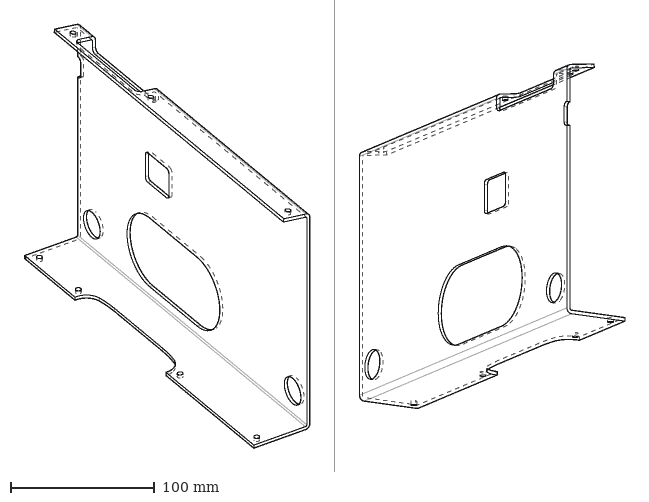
import cadquery as cq
import math

length = 290.0
height = 181.3
thickness = 2.5
bottom_depth = 46.7
top_depth = 22.0
top_slope = math.radians(8.0)
inner_bend_radius = 1.2
outer_bend_radius = inner_bend_radius + thickness

screw_diameter = 4.0
top_hole_y = -12.2
top_hole_xs = (9.0, 107.3, 280.8)
bottom_hole_y = -39.2
bottom_hole_xs = (7.3, 56.5, 185.5, 282.3)

round_diameter = 21.0
round_inset = 18.0
round_z = 22.0
opening_x = 121.3
opening_z = 39.0
opening_length = 117.2
opening_height = 57.0
window_x = 100.7
window_z = 108.0
window_width = 29.5
window_height = 24.5
window_radius = 3.0
notch_z = 143.3
notch_height = 16.8
notch_depth = 3.8
notch_radius = 3.0

slot_left = 19.0
slot_right = 98.3
slot_bottom_z = 165.6
slot_front_y = -17.5
slot_radius = 3.5

recess_x = opening_x
recess_depth = 15.0
recess_half_width = 57.5
recess_flat_half = 30.2
recess_shoulder_half = 47.0
recess_shoulder_drop = 1.5


def bent_sheet():
    """Extrude the sharp-cornered section along X, then round both bends."""
    rise = math.tan(top_slope)
    tip_upper = (-top_depth + thickness * math.sin(top_slope), height)
    tip_lower = (-top_depth, height - thickness * math.cos(top_slope))
    corner_z = tip_upper[1] + tip_upper[0] * rise
    inner_corner_z = tip_lower[1] - (top_depth - thickness) * rise
    section = [
        (0, 0),
        (-bottom_depth, 0),
        (-bottom_depth, thickness),
        (-thickness, thickness),
        (-thickness, inner_corner_z),
        tip_lower,
        tip_upper,
        (0, corner_z),
    ]
    sheet = cq.Workplane("YZ").polyline(section).close().extrude(length)

    def bend_edge(y, z):
        return cq.selectors.NearestToPointSelector((length / 2, y, z))

    for z in (0, corner_z):
        sheet = sheet.edges(bend_edge(0, z)).fillet(outer_bend_radius)
    for z in (thickness, inner_corner_z):
        sheet = sheet.edges(bend_edge(-thickness, z)).fillet(inner_bend_radius)
    return sheet


def plate_plane(x, z):
    """Plane on the back face, with its normal toward -Y."""
    return cq.Workplane("XZ", origin=(x, 0, z))


def rounded_cutter(x, z, width, tall, radius):
    """Block through the plate with rounded corners, centred at (x, z)."""
    return plate_plane(x, z).rect(width, tall).extrude(thickness).edges("|Y").fillet(radius)


def flange_holes(xs, y, bottom_z, top_z):
    points = [(x, y) for x in xs]
    plane = cq.Workplane("XY", origin=(0, 0, bottom_z))
    return plane.pushPoints(points).circle(screw_diameter / 2).extrude(top_z - bottom_z)


def top_slot():
    """Cutter whose two lower and two front corners are rounded."""
    width = slot_right - slot_left
    center_x = (slot_left + slot_right) / 2
    in_plate = (
        plate_plane(center_x, (slot_bottom_z + height) / 2)
        .rect(width, height - slot_bottom_z)
        .extrude(thickness)
        .faces("<Z")
        .edges("|Y")
        .fillet(slot_radius)
    )
    flange_base_z = height - 3 * thickness
    in_flange = (
        cq.Workplane("XY", origin=(center_x, slot_front_y / 2, flange_base_z))
        .rect(width, -slot_front_y)
        .extrude(height - flange_base_z)
        .faces("<Y")
        .edges("|Z")
        .fillet(slot_radius)
    )
    return in_plate.union(in_flange)


def bottom_recess():
    """Flat-topped recess with shallow shoulders and rounded ends."""
    shoulder_y = recess_depth - recess_shoulder_drop
    half = (
        cq.Workplane("XY", origin=(recess_x, -bottom_depth, 0))
        .lineTo(0, recess_depth)
        .lineTo(recess_flat_half, recess_depth)
        .tangentArcPoint((recess_shoulder_half, shoulder_y), relative=False)
        .tangentArcPoint((recess_half_width, 0), relative=False)
        .close()
        .extrude(thickness)
    )
    return half.union(half.mirror("YZ", (recess_x, 0, 0)))


result = bent_sheet()
result = result.cut(top_slot())
result = result.cut(bottom_recess())
result = result.cut(flange_holes(top_hole_xs, top_hole_y, height - top_depth, height))
result = result.cut(flange_holes(bottom_hole_xs, bottom_hole_y, 0, thickness))
for round_x in (round_inset, length - round_inset):
    result = result.cut(plate_plane(round_x, round_z).circle(round_diameter / 2).extrude(thickness))
result = result.cut(plate_plane(opening_x, opening_z).slot2D(opening_length, opening_height).extrude(thickness))
result = result.cut(rounded_cutter(window_x, window_z, window_width, window_height, window_radius))
result = result.cut(rounded_cutter(0, notch_z, 2 * notch_depth, notch_height, notch_radius))